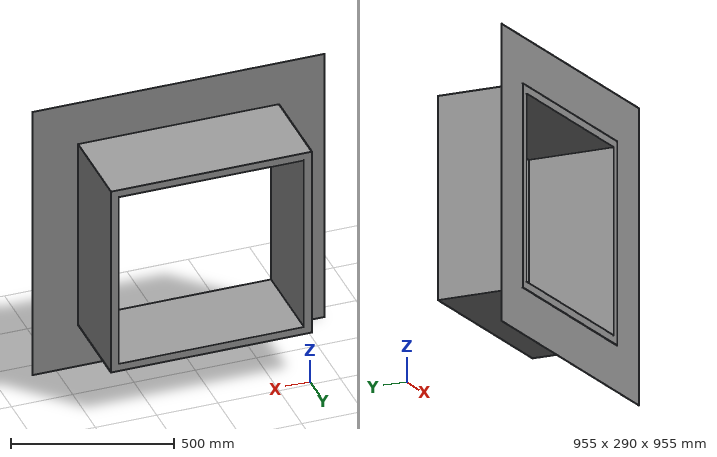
import cadquery as cq

flange_side = 955.0
total_depth = 290.0
sheet_thickness = 1.0
frame_side = 655.0
opening_side = 604.5

collar_side = frame_side + 2 * sheet_thickness


def square_tube(outer_side, inner_side, length):
    """Square tube centred on the Y axis, from the front plane y = 0 back to y = length."""
    return (
        cq.Workplane("XZ")
        .rect(outer_side, outer_side)
        .rect(inner_side, inner_side)
        .extrude(-length)
    )


def make_flanged_sleeve():
    """Thin sheet sleeve: a wide square flange in front with a full-depth collar behind it."""
    flange = square_tube(flange_side, frame_side, sheet_thickness)
    collar = square_tube(collar_side, frame_side, total_depth)
    return flange.union(collar)


def make_frame():
    """Thick-walled square frame that fills the sleeve and ends flush with it at both ends."""
    return square_tube(frame_side, opening_side, total_depth)


sleeve = make_flanged_sleeve()
frame = make_frame()

result = cq.Compound.makeCompound([sleeve.val(), frame.val()])